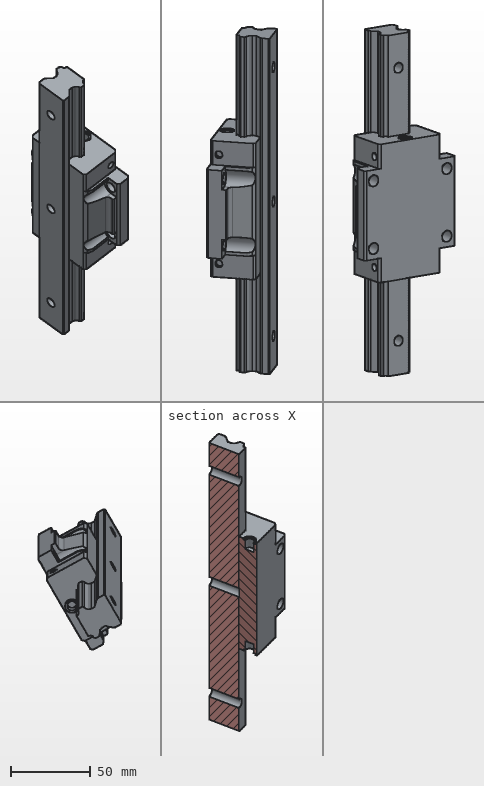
import cadquery as cq
import math


rail_length = 221.52
rail_half_width = 11.0
rail_height = 22.3
rail_base_chamfer = 0.8
foot_side_top = 4.8
foot_slope_x = 10.3
waist_half_width = 7.0
waist_bottom = 9.5
waist_top = 12.0
waist_arc_start_x = 7.6
waist_arc_start_y = 13.5
waist_arc_radius = 3.2
waist_arc_end_x = 10.0
waist_arc_end_y = 15.3
head_side_bottom = 16.3
head_side_top = 18.8
head_chamfer = 1.1
head_top_half_width = 7.7
head_fillet = 1.7
rail_hole_diameter = 6.6
rail_hole_pitch = 88.7

carriage_length = 89.9
carriage_top = 35.44
carriage_bottom = 6.3
body_half_width = 23.7
body_chamfer = 1.5

flange_length = 58.2
flange_half_width = 69.41 / 2
flange_top_chamfer = 1.3
rib_bottom = 22.3
rib_chamfer = 0.7
flange_relief = 1.6

skirt_bottom_half_width = 24.6
skirt_bottom = 8.0
skirt_top_half_width = 28.65
skirt_fillet = 3.0
underside_half_width = body_half_width - body_chamfer

bolt_x = 28.0
bolt_z = 22.0
bolt_hole_diameter = 7.3
seat_y = 25.4
seat_radius = 5.5
seat_wall_x = 25.6

port_y = 29.9
port_diameter = 6.0
port_depth = 8.0
port_counterbore_diameter = 8.7
port_counterbore_depth = 1.0
side_hole_diameter = 4.7
side_hole_depth = 3.0
side_hole_z = 36.0


def extrude_centred(outline, length):
    """Extrude a closed XY outline along Z, half of the length to each side of Z = 0."""
    return outline.close().extrude(length / 2, both=True)


def box_between(x0, x1, y0, y1, z0, z1):
    """Box between two opposite corners."""
    return cq.Workplane("XY").box(x1 - x0, y1 - y0, z1 - z0, centered=False).translate((x0, y0, z0))


def y_cylinder(diameter, x, z, y0, y1):
    """Cylinder along Y between two heights."""
    base = cq.Workplane("XZ", origin=(x, y0, z))
    return base.circle(diameter / 2).extrude(y0 - y1)


def rail_bar(length):
    """Bar with the rail's cross-section, symmetric about X = 0."""
    shoulder_x = rail_half_width - head_chamfer
    shoulder_y = head_side_top + head_chamfer
    foot_slope_y = waist_bottom - (foot_slope_x - waist_half_width)

    fillet_centre_x = head_top_half_width + head_fillet
    fillet_centre_y = shoulder_y + head_fillet
    fillet_reach = head_fillet * math.sqrt(0.5)

    half = (
        cq.Workplane("XY")
        .moveTo(0, 0)
        .lineTo(rail_half_width - rail_base_chamfer, 0)
        .lineTo(rail_half_width, rail_base_chamfer)
        .lineTo(rail_half_width, foot_side_top)
        .lineTo(foot_slope_x, foot_slope_y)
        .lineTo(waist_half_width, waist_bottom)
        .lineTo(waist_half_width, waist_top)
        .lineTo(waist_arc_start_x, waist_arc_start_y)
        .radiusArc((waist_arc_end_x, waist_arc_end_y), waist_arc_radius)
        .lineTo(rail_half_width, head_side_bottom)
        .lineTo(rail_half_width, head_side_top)
        .lineTo(shoulder_x, shoulder_y)
        .lineTo(fillet_centre_x, shoulder_y)
        .threePointArc(
            (fillet_centre_x - fillet_reach, fillet_centre_y - fillet_reach),
            (head_top_half_width, fillet_centre_y),
        )
        .lineTo(head_top_half_width, rail_height)
        .lineTo(0, rail_height)
    )
    half = extrude_centred(half, length)
    return half.union(half.mirror("YZ")).clean()


def make_rail():
    """Rail with its row of mounting holes."""
    rail = rail_bar(rail_length)
    for row in (-1, 0, 1):
        rail = rail.cut(y_cylinder(rail_hole_diameter, 0, row * rail_hole_pitch, 0, rail_height))
    return rail


def carriage_body():
    """Plain block running the whole length of the carriage."""
    height = carriage_top - carriage_bottom
    block = cq.Workplane("XY").box(2 * body_half_width, height, carriage_length)
    block = block.edges("|Z").chamfer(body_chamfer)
    return block.translate((0, carriage_bottom + height / 2, 0))


def flanged_section():
    """Middle section: flanges with a rib below them and sloped skirts down to the underside."""
    run = skirt_top_half_width - skirt_bottom_half_width
    rise = rib_bottom - skirt_bottom
    slope_length = math.hypot(run, rise)
    slope_angle = math.atan2(rise, run)
    tangent_length = skirt_fillet * math.tan(slope_angle / 2)
    slope_end = (
        skirt_top_half_width - tangent_length * run / slope_length,
        rib_bottom - tangent_length * rise / slope_length,
    )
    rib_end = (skirt_top_half_width + tangent_length, rib_bottom)
    fillet_middle = (
        rib_end[0] - skirt_fillet * math.sin(slope_angle / 2),
        rib_bottom - skirt_fillet * (1 - math.cos(slope_angle / 2)),
    )

    half = (
        cq.Workplane("XY")
        .moveTo(0, carriage_top)
        .lineTo(0, carriage_bottom)
        .lineTo(underside_half_width, carriage_bottom)
        .lineTo(skirt_bottom_half_width, skirt_bottom)
        .lineTo(*slope_end)
        .threePointArc(fillet_middle, rib_end)
        .lineTo(flange_half_width - rib_chamfer, rib_bottom)
        .lineTo(flange_half_width, rib_bottom + rib_chamfer)
        .lineTo(flange_half_width, carriage_top - flange_top_chamfer)
        .lineTo(flange_half_width - flange_top_chamfer, carriage_top)
    )
    half = extrude_centred(half, flange_length)
    return half.union(half.mirror("YZ")).clean()


def flange_edge_relief():
    """Waste below the bevel that sets back the +X flange edge and the chamfered rib corner."""
    wall_x = flange_half_width - flange_relief
    outline = (
        cq.Workplane("XY")
        .moveTo(wall_x - rib_chamfer, rib_bottom)
        .lineTo(wall_x, rib_bottom + rib_chamfer)
        .lineTo(wall_x, seat_y)
        .lineTo(flange_half_width, seat_y + flange_relief)
        .lineTo(flange_half_width, rib_bottom)
    )
    return extrude_centred(outline, flange_length)


def bolt_seat(side_x, side_z):
    """Waste below the seat face around one bolt hole, from the flange end to the rib."""
    inner_z = bolt_z - seat_radius
    end_z = flange_length / 2
    outer_x = flange_half_width
    waste = y_cylinder(2 * seat_radius, bolt_x, bolt_z, carriage_bottom, seat_y)
    waste = waste.union(box_between(bolt_x, outer_x, carriage_bottom, seat_y, inner_z, end_z))
    waste = waste.union(box_between(seat_wall_x, outer_x, carriage_bottom, seat_y, bolt_z, end_z))
    if side_x < 0:
        waste = waste.mirror("YZ")
    if side_z < 0:
        waste = waste.mirror("XY")
    return waste


def end_port(side_z):
    """Counterbored blind port in one end face, drilled toward the middle."""
    face = cq.Workplane("XY", origin=(0, port_y, side_z * carriage_length / 2))
    counterbore = face.circle(port_counterbore_diameter / 2).extrude(-side_z * port_counterbore_depth)
    return counterbore.union(face.circle(port_diameter / 2).extrude(-side_z * port_depth))


def side_hole(side_x, side_z):
    """Blind hole in one side face of an end block."""
    face = cq.Workplane("YZ", origin=(side_x * body_half_width, port_y, side_z * side_hole_z))
    return face.circle(side_hole_diameter / 2).extrude(-side_x * side_hole_depth)


def make_carriage():
    """Flanged carriage with a channel that fits the rail."""
    carriage = carriage_body().union(flanged_section())
    carriage = carriage.cut(flange_edge_relief())
    for side_z in (-1, 1):
        carriage = carriage.cut(end_port(side_z))
        for side_x in (-1, 1):
            bolt_hole = y_cylinder(
                bolt_hole_diameter, side_x * bolt_x, side_z * bolt_z, carriage_bottom, carriage_top
            )
            carriage = carriage.cut(bolt_seat(side_x, side_z)).cut(bolt_hole)
            carriage = carriage.cut(side_hole(side_x, side_z))
    return carriage.cut(rail_bar(carriage_length))


rail = make_rail()
carriage = make_carriage()
result = cq.Compound.makeCompound([rail.val(), carriage.val()])